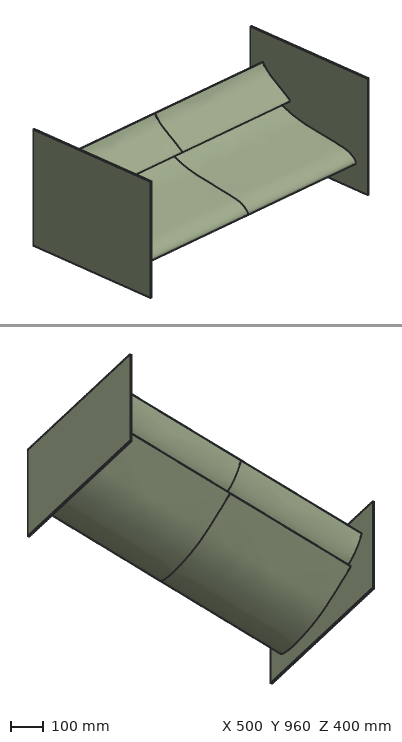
import cadquery as cq

SPAN = 960.0
PLATE_LENGTH = 500.0
PLATE_HEIGHT = 400.0
PLATE_THICKNESS = 6.0

INNER_SPAN = SPAN - 2 * PLATE_THICKNESS
PANEL_SPAN = INNER_SPAN / 2

TRAILING_THICKNESS = 2.0
MAIN_TRAILING_EDGE = (-143.0, -7.0)
MAIN_SURFACE = [
    (-85.0, -34.0),
    (-29.0, -49.0),
    (60.0, -61.0),
    (139.0, -72.0),
    (185.0, -88.0),
    (201.0, -108.0),
    (178.0, -122.0),
    (115.0, -126.0),
    (19.0, -105.0),
    (-67.0, -58.0),
]
FLAP_TRAILING_EDGE = (-196.0, 99.0)
FLAP_SURFACE = [
    (-160.0, 60.0),
    (-123.0, 36.0),
    (-92.0, 15.0),
    (-81.0, 4.0),
    (-92.0, -2.0),
    (-115.0, 3.0),
    (-149.0, 26.0),
    (-175.0, 57.0),
]


def end_plate(y_start):
    """Flat rectangular plate that closes one end of the wing."""
    return cq.Workplane("XY").box(
        PLATE_LENGTH, PLATE_THICKNESS, PLATE_HEIGHT, centered=(True, False, True)
    ).translate((0, y_start, 0))


def wing_panel(trailing_edge, surface, y_start):
    """Half-span panel with a constant aerofoil section."""
    tail_x, tail_z = trailing_edge
    lower_trailing_edge = (tail_x, tail_z - TRAILING_THICKNESS)
    return (
        cq.Workplane("XZ", origin=(0, y_start, 0))
        .moveTo(*trailing_edge)
        .spline([*surface, lower_trailing_edge], includeCurrent=True)
        .close()
        .extrude(-PANEL_SPAN)
    )


end_plates = [end_plate(y) for y in (-SPAN / 2, INNER_SPAN / 2)]

panel_starts = (-PANEL_SPAN, 0)
main_panels = [wing_panel(MAIN_TRAILING_EDGE, MAIN_SURFACE, y) for y in panel_starts]
flap_panels = [wing_panel(FLAP_TRAILING_EDGE, FLAP_SURFACE, y) for y in panel_starts]

bodies = [*end_plates, *main_panels, *flap_panels]
result = cq.Compound.makeCompound([body.val() for body in bodies])